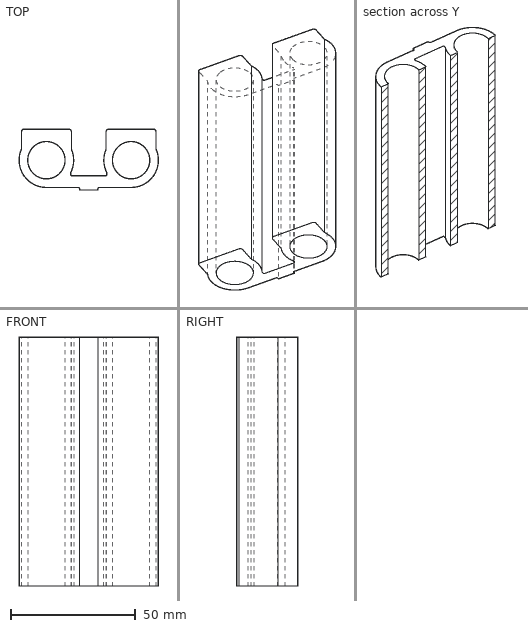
import cadquery as cq

length = 100.0
bore_diameter = 14.9
bore_spacing = 34.0
tube_radius = 11.0
block_height = 12.5
block_outer_half = 27.0
slot_half = 6.9
slot_floor = -6.2
slot_foot_half = 7.2
outer_corner_radius = 1.0
inner_corner_radius = 1.2
slot_foot_radius = 0.3
pad_height = 1.0
pad_half = 3.7
pad_root_radius = 0.5

bore_x = bore_spacing / 2


def box(x_min, x_max, y_min, y_max):
    """Full-length bar with a rectangular section."""
    return cq.Workplane("XY").box(
        x_max - x_min, y_max - y_min, length, centered=False
    ).translate((x_min, y_min, 0))


def cylinder(radius, x):
    """Full-length cylinder on a bore axis."""
    return cq.Workplane("XY").center(x, 0).circle(radius).extrude(length)


def block(side):
    """Square block above a bore, with rounded top corners."""
    inner, outer = side * slot_half, side * block_outer_half
    body = box(min(inner, outer), max(inner, outer), 0, block_height)
    for x, radius in ((inner, inner_corner_radius), (outer, outer_corner_radius)):
        corner = cq.selectors.NearestToPointSelector((x, block_height, length / 2))
        body = body.edges("|Z").edges(corner).fillet(radius)
    return body


result = box(-bore_x, bore_x, -tube_radius, 0)
slot = box(-slot_foot_half, slot_foot_half, slot_floor, 0)
slot = slot.faces("<Y").edges("|Z").fillet(slot_foot_radius)
result = result.cut(slot)

for side in (-1, 1):
    result = result.union(cylinder(tube_radius, side * bore_x)).union(block(side))

for side in (-1, 1):
    result = result.cut(cylinder(bore_diameter / 2, side * bore_x))

result = result.union(box(-pad_half, pad_half, -tube_radius - pad_height, slot_floor))
for side in (-1, 1):
    root = cq.selectors.NearestToPointSelector((side * pad_half, -tube_radius, length / 2))
    result = result.edges("|Z").edges(root).fillet(pad_root_radius)